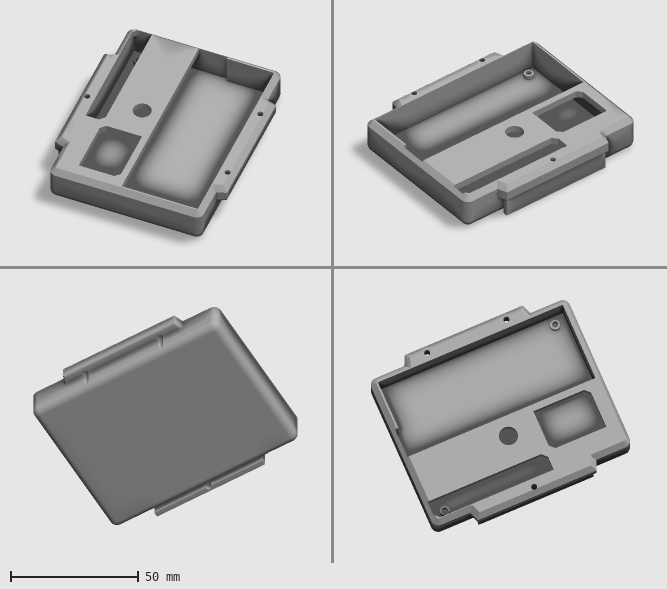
import cadquery as cq

LENGTH = 85.0
WIDTH = 64.9
HEIGHT = 15.0
CORNER_RADIUS = 3.0
TOP_CHAMFER = 2.2
COVER_THICKNESS = 3.0
SEAM_Z = HEIGHT - COVER_THICKNESS

WING_SPAN = 73.0
WING_TIP_LENGTH = 50.8
WING_ROOT_LENGTH = 53.9
WING_THICKNESS = 7.0
WING_BOTTOM_Z = HEIGHT - WING_THICKNESS
WING_EDGE_RADIUS = 1.0
WING_ROOT_RADIUS = 0.5
WING_HOLE_DIAMETER = 2.4
WING_HOLE_X = 33.3
RIGHT_HOLE_Y = 17.0
WING_HOLES = [(-WING_HOLE_X, 0), (WING_HOLE_X, -RIGHT_HOLE_Y), (WING_HOLE_X, RIGHT_HOLE_Y)]

FLOOR_THICKNESS = 2.0
CAVITY_HALF_WIDTH = 30.0
CAVITY_FRONT_Y = -39.7
CAVITY_BACK_Y = 39.5
RECESS_BACK_Y = 40.9
RECESS_RIGHT_X = 9.8

BOSS_DIAMETER = 4.0
BOSS_HOLE_DIAMETER = 2.4
BOSS_HEIGHT = 2.0
BOSS_POSITIONS = [(-25.7, 35.0), (26.35, -34.85)]

BAY_LEFT_X = -2.4
SLOT_RIGHT_X = -22.3
SLOT_FRONT_Y = -9.8
WINDOW_LEFT_X = SLOT_RIGHT_X
WINDOW_RIGHT_X = -5.1
WINDOW_FRONT_Y = -35.7
WINDOW_BACK_Y = -11.9
OPENING_CHAMFER = 2.0
ROUND_OPENING_DIAMETER = 7.5
ROUND_OPENING_CENTER = (-10.4, 1.1)

STRIP_OUTER_X = -35.4
STRIP_THICKNESS = 2.0
STRIP_LENGTH = 49.3


def block(x_min, x_max, y_min, y_max, z_min, z_max):
    """A box given by its limits along each axis."""
    size = (x_max - x_min, y_max - y_min, z_max - z_min)
    return cq.Workplane().box(*size, centered=False).translate((x_min, y_min, z_min))


def shell_block():
    """The rounded main block, without its top chamfer."""
    plain = cq.Workplane().box(WIDTH, LENGTH, HEIGHT, centered=(True, True, False))
    return plain.edges("|Z").fillet(CORNER_RADIUS)


def wing_plan():
    """Plan of both wings as one tapered bar that runs across the shell."""
    root_x = WIDTH / 2
    tip_x = WING_SPAN / 2
    root_y = WING_ROOT_LENGTH / 2
    tip_y = WING_TIP_LENGTH / 2
    right_edge = [(root_x, -root_y), (tip_x, -tip_y), (tip_x, tip_y), (root_x, root_y)]
    left_edge = [(-x, -y) for x, y in right_edge]
    return cq.Workplane().polyline(right_edge + left_edge).close()


def wing_bar(z_min, z_max):
    return wing_plan().extrude(z_max - z_min).translate((0, 0, z_min))


def cavity(z_min, z_max):
    """The space inside the walls; the back wall is thinner to the left of its step."""
    main = block(-CAVITY_HALF_WIDTH, CAVITY_HALF_WIDTH, CAVITY_FRONT_Y, CAVITY_BACK_Y, z_min, z_max)
    recess = block(-CAVITY_HALF_WIDTH, RECESS_RIGHT_X, CAVITY_FRONT_Y, RECESS_BACK_Y, z_min, z_max)
    return main.union(recess)


def cornered_opening(x_min, x_max, y_min, y_max):
    """Space of a rectangular opening with its back left and front right corners cut off."""
    opening = block(x_min, x_max, y_min, y_max, SEAM_Z, HEIGHT)
    cut_corners = opening.edges("<X and >Y").add(opening.edges(">X and <Y"))
    return cut_corners.chamfer(OPENING_CHAMFER)


def wing_holes():
    return cq.Workplane().pushPoints(WING_HOLES).circle(WING_HOLE_DIAMETER / 2).extrude(HEIGHT)


def wing_root_selector():
    """Selects the edges where the rounded undersides of the wings meet the sides of the shell."""
    reach = 0.01
    low, high = WING_BOTTOM_Z - reach, WING_BOTTOM_Z + WING_EDGE_RADIUS + reach
    half_x, half_y = WIDTH / 2, WING_ROOT_LENGTH / 2
    boxes = [
        cq.selectors.BoxSelector(
            (side * half_x - reach, -half_y - reach, low),
            (side * half_x + reach, half_y + reach, high),
            boundingbox=True,
        )
        for side in (-1, 1)
    ]
    return boxes[0] + boxes[1]


def make_tray():
    tray = shell_block().faces("<Z").edges().fillet(CORNER_RADIUS)
    wings = wing_bar(WING_BOTTOM_Z, HEIGHT).faces("<Z").edges().fillet(WING_EDGE_RADIUS)
    tray = tray.union(wings).edges(wing_root_selector()).fillet(WING_ROOT_RADIUS)
    below_seam = block(-WING_SPAN, WING_SPAN, -LENGTH, LENGTH, 0, SEAM_Z)
    tray = tray.intersect(below_seam).cut(cavity(FLOOR_THICKNESS, SEAM_Z))
    bosses = cq.Workplane().pushPoints(BOSS_POSITIONS).circle(BOSS_DIAMETER / 2)
    bosses = bosses.circle(BOSS_HOLE_DIAMETER / 2).extrude(BOSS_HEIGHT)
    return tray.union(bosses.translate((0, 0, FLOOR_THICKNESS))).cut(wing_holes())


def make_cover():
    outline = shell_block().union(wing_bar(0, HEIGHT))
    above_seam = block(-WING_SPAN, WING_SPAN, -LENGTH, LENGTH, SEAM_Z, HEIGHT)
    cover = outline.intersect(above_seam).faces(">Z").edges().chamfer(TOP_CHAMFER)
    bay_side = block(BAY_LEFT_X, WIDTH, -LENGTH, LENGTH, SEAM_Z, HEIGHT)
    bay = cavity(SEAM_Z, HEIGHT).intersect(bay_side)
    slot = cornered_opening(-CAVITY_HALF_WIDTH, SLOT_RIGHT_X, SLOT_FRONT_Y, RECESS_BACK_Y)
    window = cornered_opening(WINDOW_LEFT_X, WINDOW_RIGHT_X, WINDOW_FRONT_Y, WINDOW_BACK_Y)
    round_opening = cq.Workplane().center(*ROUND_OPENING_CENTER)
    round_opening = round_opening.circle(ROUND_OPENING_DIAMETER / 2).extrude(HEIGHT)
    return cover.cut(bay).cut(slot).cut(window).cut(round_opening).cut(wing_holes())


def make_strip():
    half = STRIP_LENGTH / 2
    strip = block(STRIP_OUTER_X, STRIP_OUTER_X + STRIP_THICKNESS, -half, half, 0, WING_BOTTOM_Z)
    return strip.cut(wing_holes())


tray = make_tray()
cover = make_cover()
strip = make_strip()

result = cq.Compound.makeCompound([tray.val(), cover.val(), strip.val()])